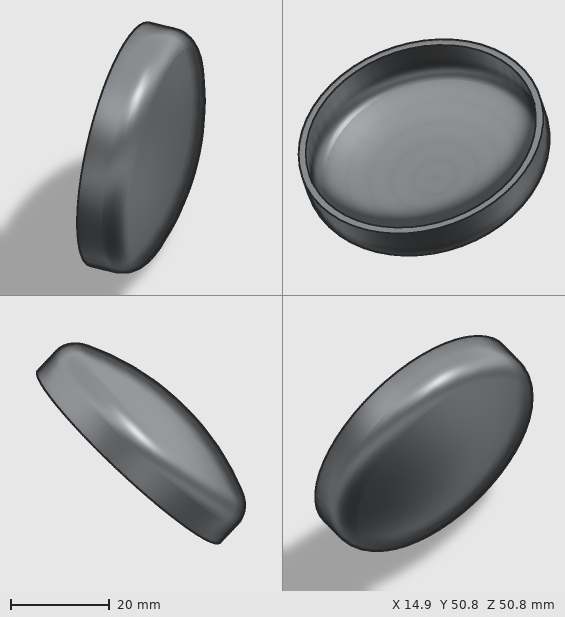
import cadquery as cq
import math

outer_diameter = 50.8
inner_diameter = 47.8
total_height = 14.9
skirt_height = 5.4
shoulder_radius = 5.0

outer_radius = outer_diameter / 2
wall = (outer_diameter - inner_diameter) / 2

shoulder_center_radius = outer_radius - shoulder_radius
crown_rise = total_height - skirt_height - shoulder_radius
center_distance = (shoulder_center_radius**2 + crown_rise**2) / (2 * crown_rise)
dome_radius = center_distance + shoulder_radius
dome_angle = math.asin(shoulder_center_radius / center_distance)
dome_center_x = total_height - dome_radius


def shoulder_point(offset, angle):
    """Point (x, radius) on the shoulder, offset inward, at an angle from the X axis."""
    radius = shoulder_radius - offset
    return (
        skirt_height + radius * math.cos(angle),
        shoulder_center_radius + radius * math.sin(angle),
    )


def dome_point(offset, angle):
    """Point (x, radius) on the dome, offset inward, at an angle from the X axis."""
    radius = dome_radius - offset
    return (dome_center_x + radius * math.cos(angle), radius * math.sin(angle))


def domed_solid(offset):
    """Solid bounded by the outer surface moved inward by the offset."""
    profile = (
        cq.Workplane("XY")
        .lineTo(0, outer_radius - offset)
        .lineTo(skirt_height, outer_radius - offset)
        .threePointArc(
            shoulder_point(offset, (math.pi / 2 + dome_angle) / 2),
            shoulder_point(offset, dome_angle),
        )
        .threePointArc(dome_point(offset, dome_angle / 2), dome_point(offset, 0))
        .close()
    )
    return profile.revolve(360, (0, 0, 0), (1, 0, 0))


result = domed_solid(0).cut(domed_solid(wall))